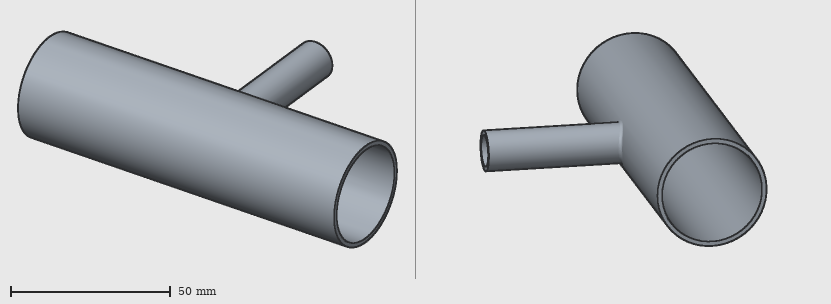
import cadquery as cq

pipe_length = 120.0
pipe_outer_diameter = 35.0
pipe_bore_diameter = 32.0

branch_reach = 60.0
branch_outer_diameter = 13.0
branch_bore_diameter = 10.0

weld_fillet_radius = 1.0


def pipe_cylinder(diameter):
    return cq.Workplane("YZ").circle(diameter / 2).extrude(pipe_length / 2, both=True)


def branch_cylinder(diameter):
    return cq.Workplane("XZ").circle(diameter / 2).extrude(-branch_reach)


outside = pipe_cylinder(pipe_outer_diameter).union(branch_cylinder(branch_outer_diameter))
junction_zone = cq.selectors.BoxSelector(
    (-branch_outer_diameter, 0, -branch_outer_diameter),
    (branch_outer_diameter, pipe_outer_diameter / 2, branch_outer_diameter),
)
outside = outside.edges(junction_zone).fillet(weld_fillet_radius)

result = outside.cut(pipe_cylinder(pipe_bore_diameter)).cut(branch_cylinder(branch_bore_diameter))